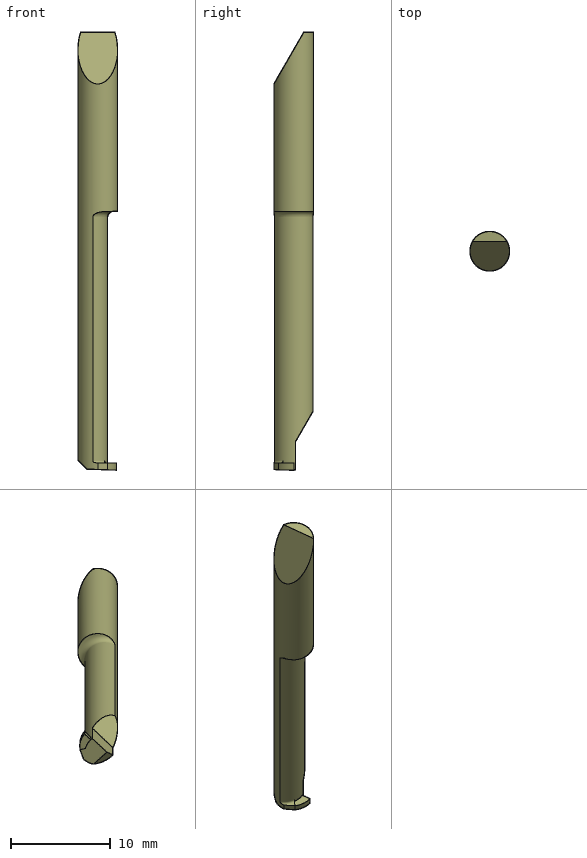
import cadquery as cq
import math


bar_radius = 2.0
bar_length = 44.0
bevel_angle = 30.0
top_land_y = 1.0

neck_offset = 1.0
neck_top = 26.0
neck_top_fillet = 0.6
neck_root_fillet = 0.2

tooth_width = 0.75
tip_reach = 1.9
tip_flank_radius = 2.4
heel_x = 1.0
heel_y = -1.53
rake_flat_y = 0.2
rake_flat_top = 2.9
corner_chamfer = 1.0
end_relief_angle = 2.0

clearance = 3.0 * bar_radius
slope = math.tan(math.radians(bevel_angle))


def neck_cylinder(height):
    return cq.Workplane("XY").center(-neck_offset, 0).circle(bar_radius).extrude(height)


def upper_bevel():
    """Wedge in front of the sloping plane at the top end."""
    drop = (top_land_y + clearance) / slope
    return (
        cq.Workplane("YZ")
        .polyline([(top_land_y, bar_length), (-clearance, bar_length), (-clearance, bar_length - drop)])
        .close()
        .extrude(clearance, both=True)
    )


def neck_relief():
    """Ring around the neck, rounded where it runs out at the shoulder and at the tooth."""
    ring = (
        cq.Workplane("XZ", origin=(-neck_offset, 0, 0))
        .moveTo(bar_radius + neck_root_fillet, tooth_width)
        .lineTo(clearance, tooth_width)
        .lineTo(clearance, neck_top)
        .lineTo(bar_radius + neck_top_fillet, neck_top)
        .radiusArc((bar_radius, neck_top - neck_top_fillet), -neck_top_fillet)
        .lineTo(bar_radius, tooth_width + neck_root_fillet)
        .radiusArc((bar_radius + neck_root_fillet, tooth_width), -neck_root_fillet)
        .close()
    )
    return ring.revolve(360, (0, 0, 0), (0, 1, 0))


def tip_seat():
    """Space beside the neck that is left free for the tip, on the +X side of the heel."""
    far_heel = (heel_x * clearance, heel_y * clearance)
    sector = (
        cq.Workplane("XY")
        .polyline([(0, 0), far_heel, (far_heel[0], clearance), (0, clearance)])
        .close()
        .extrude(tooth_width + neck_root_fillet)
    )
    return sector.cut(neck_cylinder(neck_top))


def heel_flat():
    """Wedge outside the flat that runs from the bottom of the bar circle to the heel corner."""
    heel_slope = (heel_y + bar_radius) / heel_x
    return (
        cq.Workplane("XY")
        .polyline([(0, -bar_radius), (clearance, -bar_radius + heel_slope * clearance), (clearance, -clearance)])
        .close()
        .extrude(tooth_width)
    )


def rake_relief():
    """Flat on the +Y side of the cutting end, running out along a sloping plane."""
    rise = (clearance - rake_flat_y) / slope
    return (
        cq.Workplane("YZ")
        .polyline(
            [
                (rake_flat_y, 0),
                (rake_flat_y, rake_flat_top),
                (clearance, rake_flat_top + rise),
                (clearance, 0),
            ]
        )
        .close()
        .extrude(clearance, both=True)
    )


def end_chamfer():
    """Triangle below the 45 degree plane on the -X side of the cutting end."""
    return (
        cq.Workplane("XZ")
        .polyline([(-bar_radius, 0), (-bar_radius + corner_chamfer, 0), (-bar_radius, corner_chamfer)])
        .close()
        .extrude(clearance, both=True)
    )


def end_relief():
    """Thin wedge below the end face, so that only the tip corner reaches z = 0."""
    rise = (tip_reach + clearance) * math.tan(math.radians(end_relief_angle))
    return (
        cq.Workplane("XZ")
        .polyline([(tip_reach, 0), (-clearance, 0), (-clearance, rise)])
        .close()
        .extrude(clearance, both=True)
    )


def make_holder():
    holder = cq.Workplane("XY").circle(bar_radius).extrude(bar_length)
    for cutter in (
        upper_bevel(),
        neck_relief(),
        tip_seat(),
        heel_flat(),
        rake_relief(),
        end_chamfer(),
        end_relief(),
    ):
        holder = holder.cut(cutter)
    return holder.solids()


def make_cutting_tip():
    """Sector from the heel to the rake face at y = 0, fitted against the neck."""
    blank = (
        cq.Workplane("XY")
        .lineTo(heel_x, heel_y)
        .radiusArc((tip_reach, 0), -tip_flank_radius)
        .close()
        .extrude(tooth_width)
    )
    return blank.cut(neck_cylinder(neck_top)).cut(end_relief()).solids()


holder = make_holder()
cutting_tip = make_cutting_tip()

result = cq.Compound.makeCompound([holder.val(), cutting_tip.val()])